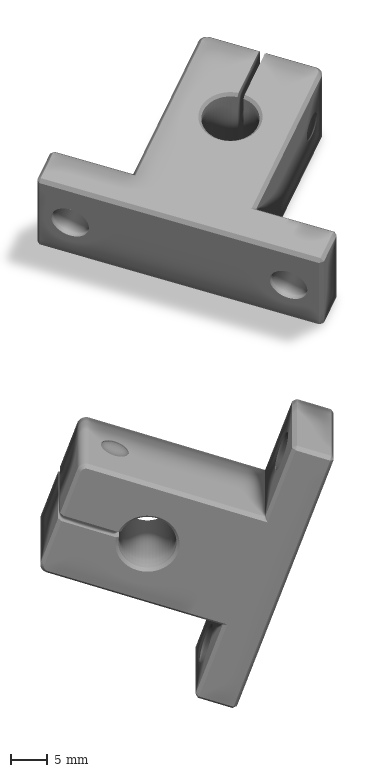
import cadquery as cq

base_width = 42.0
height = 14.0
depth = 32.8
base_thickness = 6.0
stem_width = 18.0
edge_chamfer = 0.5
stem_corner_radius = 1.25

bore_diameter = 8.0
bore_y = 20.0
bore_chamfer = 0.4
slot_width = 0.9

mount_hole_diameter = 5.5
mount_hole_spacing = 32.0
pin_diameter = 4.0
pin_y = depth - 5.0
pin_recess = 0.15


def t_block():
    """T-shaped block with rounded stem corners and chamfered outer edges."""
    base = cq.Workplane("XY").box(base_width, base_thickness, height, centered=(True, False, True))
    stem = cq.Workplane("XY").box(stem_width, depth, height, centered=(True, False, True))
    block = base.union(stem).clean()
    block = block.edges("|Z and >Y").fillet(stem_corner_radius)
    base_corners = block.edges("|Z and (<X or >X)")
    return block.faces("<Z or >Z").edges().add(base_corners).chamfer(edge_chamfer)


def shaft_bore():
    """Through bore along Z that flares outward at both ends."""
    radius = bore_diameter / 2
    bore = cq.Workplane("XY").center(0, bore_y).circle(radius).extrude(height / 2, both=True)
    rim = (
        cq.Workplane("XY", origin=(0, bore_y, height / 2 - bore_chamfer))
        .circle(radius)
        .workplane(offset=bore_chamfer)
        .circle(radius + bore_chamfer)
        .loft()
    )
    return bore.union(rim).union(rim.mirror("XY"))


def clamp_slot():
    """Slit from the bore centre out through the stem end."""
    length = depth - bore_y
    return cq.Workplane("XY").box(slot_width, length, height).translate((0, bore_y + length / 2, 0))


def mount_holes():
    """Two holes along Y through the base wings."""
    return (
        cq.Workplane("XZ")
        .pushPoints([(-mount_hole_spacing / 2, 0), (mount_hole_spacing / 2, 0)])
        .circle(mount_hole_diameter / 2)
        .extrude(-base_thickness)
    )


def cross_cylinder(length):
    """Cylinder along X of the pin diameter, centred on the slot."""
    start = cq.Workplane("YZ", origin=(-length / 2, pin_y, 0))
    return start.circle(pin_diameter / 2).extrude(length)


def clamp_support():
    """Complete shaft support with its bore, slot and holes."""
    pin_hole = cross_cylinder(stem_width)
    return t_block().cut(shaft_bore()).cut(clamp_slot()).cut(mount_holes()).cut(pin_hole)


def clamp_pin():
    """Plain pin across the slot, sunk slightly below both stem sides."""
    return cross_cylinder(stem_width - 2 * pin_recess)


support = clamp_support()
pin = clamp_pin()

result = cq.Compound.makeCompound([support.solids().val(), pin.solids().val()])